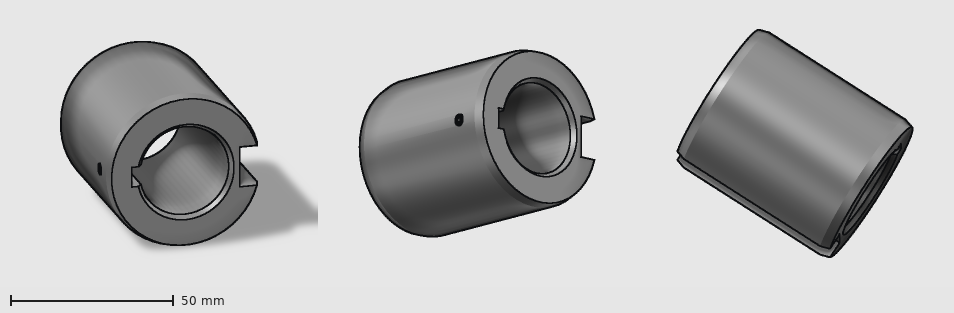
import cadquery as cq

LENGTH = 56.0
OUTER_RADIUS = 24.61
BORE_RADIUS = 14.2
END_TAPER_LENGTH = 3.0
END_TAPER_DROP = 0.9
BORE_CHAMFER_LENGTH = 1.6
BORE_CHAMFER_RISE = 1.25

SLOT_WIDTH = 12.9
SLOT_FLOOR = 17.3
KEYWAY_WIDTH = 6.4
KEYWAY_FLOOR = 17.25

SCREW_X = 18.0
SCREW_DIAMETER = 3.5
SCREW_TOP = 24.65
SCREW_CHAMFER = 0.55
SOCKET_DIAMETER = 1.45
SOCKET_DEPTH = 1.1


def radial_cylinder(diameter, inner, outer):
    """Cylinder on the screw axis between two distances from the sleeve axis."""
    return (
        cq.Workplane("XZ", origin=(SCREW_X, -inner, 0))
        .circle(diameter / 2)
        .extrude(outer - inner)
    )


def make_tube():
    """Revolved tube with tapered outer ends and a bore chamfered at both ends."""
    end = LENGTH / 2
    taper_start = end - END_TAPER_LENGTH
    end_radius = OUTER_RADIUS - END_TAPER_DROP
    bore_end = end - BORE_CHAMFER_LENGTH
    mouth_radius = BORE_RADIUS + BORE_CHAMFER_RISE
    profile = [
        (-bore_end, BORE_RADIUS),
        (-end, mouth_radius),
        (-end, end_radius),
        (-taper_start, OUTER_RADIUS),
        (taper_start, OUTER_RADIUS),
        (end, end_radius),
        (end, mouth_radius),
        (bore_end, BORE_RADIUS),
    ]
    return cq.Workplane("XZ").polyline(profile).close().revolve(360, (0, 0, 0), (1, 0, 0))


def make_sleeve():
    """Tube with a full-length outer slot, a keyway and the screw hole."""
    slot_depth = OUTER_RADIUS - SLOT_FLOOR
    slot = cq.Workplane("XY").box(LENGTH, slot_depth, SLOT_WIDTH).translate(
        (0, SLOT_FLOOR + slot_depth / 2, 0)
    )
    keyway = cq.Workplane("XY").box(LENGTH, KEYWAY_FLOOR, KEYWAY_WIDTH).translate(
        (0, -KEYWAY_FLOOR / 2, 0)
    )
    screw_hole = radial_cylinder(SCREW_DIAMETER, KEYWAY_FLOOR, SCREW_TOP)
    return make_tube().cut(slot).cut(keyway).cut(screw_hole)


def make_set_screw():
    """Plain screw with a chamfered outer end and a round blind socket."""
    body = radial_cylinder(SCREW_DIAMETER, KEYWAY_FLOOR, SCREW_TOP)
    body = body.faces("<Y").chamfer(SCREW_CHAMFER)
    socket = radial_cylinder(SOCKET_DIAMETER, SCREW_TOP - SOCKET_DEPTH, SCREW_TOP)
    return body.cut(socket)


sleeve = make_sleeve()
set_screw = make_set_screw()

result = cq.Compound.makeCompound([sleeve.val(), set_screw.val()])